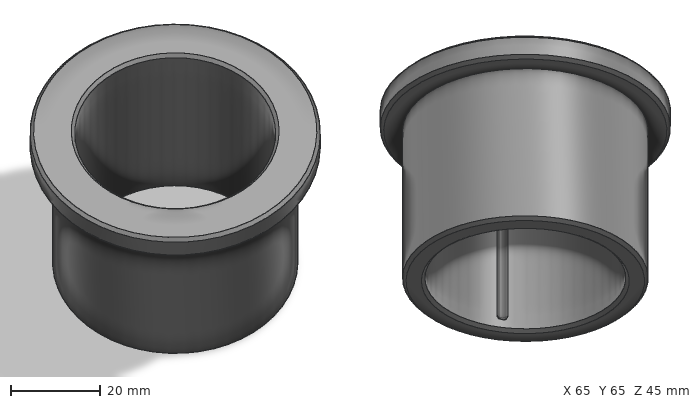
import cadquery as cq

flange_diameter = 65.0
body_diameter = 55.0
bore_diameter = 45.0
height = 45.0
flange_thickness = 6.0
edge_chamfer = 0.8

groove_diameter = 2.5
groove_end_gap = 4.0


def make_cylinder(diameter, length):
    return cq.Workplane("XY").circle(diameter / 2).extrude(length)


def make_body():
    return make_cylinder(body_diameter, height).faces("<Z").edges().chamfer(edge_chamfer)


def make_flange():
    flange = make_cylinder(flange_diameter, flange_thickness).edges("%CIRCLE").chamfer(edge_chamfer)
    return flange.translate((0, 0, height - flange_thickness))


def make_bore():
    """Through bore, widened by a chamfer at each end."""
    radius = bore_diameter / 2
    mouth_radius = radius + edge_chamfer
    return (
        cq.Workplane("XZ")
        .moveTo(0, 0)
        .lineTo(mouth_radius, 0)
        .lineTo(radius, edge_chamfer)
        .lineTo(radius, height - edge_chamfer)
        .lineTo(mouth_radius, height)
        .lineTo(0, height)
        .close()
        .revolve(360, (0, 0, 0), (0, 1, 0))
    )


def make_groove():
    """Cylinder with a ball at each end, centered on the bore wall."""
    groove_length = height - 2 * groove_end_gap
    groove = make_cylinder(groove_diameter, groove_length)
    for end_height in (0, groove_length):
        ball = cq.Workplane("XY").sphere(groove_diameter / 2)
        groove = groove.union(ball.translate((0, 0, end_height)))
    return groove.translate((bore_diameter / 2, 0, groove_end_gap))


result = make_body().union(make_flange()).cut(make_bore()).cut(make_groove())